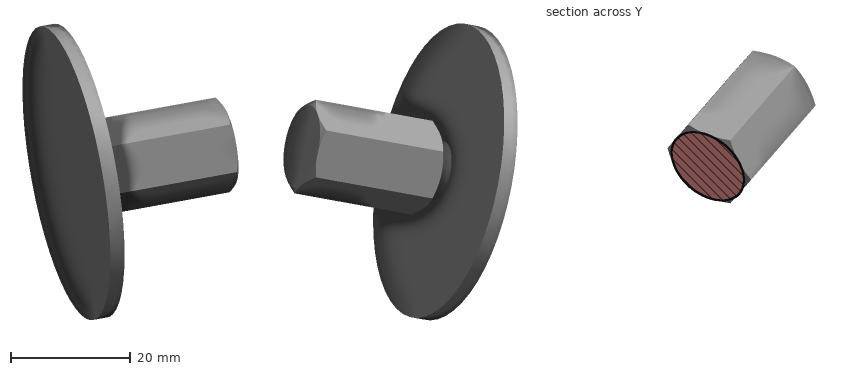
import cadquery as cq
import math

disc_diameter = 50.0
disc_thickness = 2.5
neck_length = 2.5
neck_base_diameter = 10.0
neck_tip_diameter = 5.0

nut_across_flats = 14.0
nut_length = 23.0
nut_chamfer_angle = 30.0
nut_face_diameter = 14.0

nut_start = disc_thickness + neck_length
nut_end = nut_start + nut_length
nut_across_corners = nut_across_flats / math.cos(math.radians(30))


def make_disc():
    """Flat disc and conical neck, revolved as one solid about Y."""
    return (
        cq.Workplane("XY")
        .lineTo(disc_diameter / 2, 0)
        .lineTo(disc_diameter / 2, disc_thickness)
        .lineTo(neck_base_diameter / 2, disc_thickness)
        .lineTo(neck_tip_diameter / 2, nut_start)
        .lineTo(0, nut_start)
        .close()
        .revolve(360, (0, 0, 0), (0, 1, 0))
    )


def make_nut():
    """Hexagonal prism whose corners are chamfered by a cone at both ends."""
    prism = (
        cq.Workplane("XZ", origin=(0, nut_start, 0))
        .polygon(6, nut_across_corners)
        .extrude(-nut_length)
    )
    face_radius = nut_face_diameter / 2
    corner_radius = nut_across_corners / 2
    chamfer_depth = (corner_radius - face_radius) * math.tan(math.radians(nut_chamfer_angle))
    envelope = (
        cq.Workplane("XY")
        .moveTo(0, nut_start)
        .lineTo(face_radius, nut_start)
        .lineTo(corner_radius, nut_start + chamfer_depth)
        .lineTo(corner_radius, nut_end - chamfer_depth)
        .lineTo(face_radius, nut_end)
        .lineTo(0, nut_end)
        .close()
        .revolve(360, (0, 0, 0), (0, 1, 0))
    )
    return prism.intersect(envelope)


disc = make_disc()
nut = make_nut()

result = cq.Compound.makeCompound([disc.val(), nut.val()])